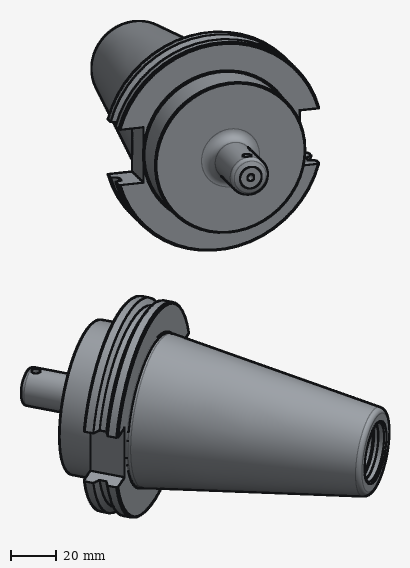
import cadquery as cq
import math

total_length = 165.1
taper_end = 102.7
flange_start = 104.5
flange_end = 120.7
collar_end = 136.5

taper_large_diameter = 69.8
taper_ratio = 7 / 24
nose_radius = 2.5

flange_diameter = 97.3
flange_chamfer = 0.7
root_radius = 0.5
groove_floor_diameter = 91.0
groove_floor_width = 3.1
groove_wall_angle = math.radians(30)
slot_width = 26.0
deep_slot_floor = 35.3
shallow_slot_floor = 37.6

collar_diameter = 70.2
collar_chamfer = 0.5
stub_diameter = 17.5
stub_root_radius = 4.8
stub_tip_diameter = 10.0
stub_tip_length = 1.3
stub_tip_radius = 2.0

mouth_diameter = 28.4
counterbore_diameter = 26.7
counterbore_depth = 3.5
thread_diameter = 26.3
thread_depth = 5.5
bore_diameter = 22.0
bore_depth = 59.5
pilot_diameter = 8.0
pilot_depth = 92.5
drill_tip_angle = math.radians(118)

coolant_diameter = 3.1
cross_hole_diameter = 4.0
cross_hole_x = 159.8


def revolved_around_x(profile):
    return profile.close().revolve(360, (0, 0, 0), (1, 0, 0))


def cylinder(start, end, diameter):
    return cq.Workplane("YZ", origin=(start, 0, 0)).circle(diameter / 2).extrude(end - start)


def drill_tip(start_diameter, end_diameter):
    """Axial length of a drill point between two diameters."""
    return (start_diameter - end_diameter) / 2 / math.tan(drill_tip_angle / 2)


def make_taper():
    large_radius = taper_large_diameter / 2
    small_radius = large_radius - taper_end * taper_ratio / 2
    profile = (
        cq.Workplane("XY")
        .lineTo(0, small_radius)
        .lineTo(taper_end, large_radius)
        .lineTo(flange_start, large_radius)
        .lineTo(flange_start, 0)
    )
    return revolved_around_x(profile).edges("<X").fillet(nose_radius)


def make_collar():
    return cylinder(flange_start, collar_end, collar_diameter).faces(">X").chamfer(collar_chamfer)


def make_flange():
    flange = cylinder(flange_start, flange_end, flange_diameter).edges().chamfer(flange_chamfer)
    middle = (flange_start + flange_end) / 2
    outer_radius = flange_diameter / 2
    floor_radius = groove_floor_diameter / 2
    half_floor = groove_floor_width / 2
    half_mouth = half_floor + (outer_radius - floor_radius) * math.tan(groove_wall_angle)
    groove = (
        cq.Workplane("XY")
        .moveTo(middle - half_mouth, outer_radius)
        .lineTo(middle - half_floor, floor_radius)
        .lineTo(middle + half_floor, floor_radius)
        .lineTo(middle + half_mouth, outer_radius)
    )
    return flange.cut(revolved_around_x(groove))


def make_root_fillet(face_x, shaft_diameter, direction):
    """Ring with a concave corner between a flange face and the shaft beside it."""
    shaft_radius = shaft_diameter / 2
    middle_offset = root_radius * (1 - math.sqrt(0.5))
    profile = (
        cq.Workplane("XY")
        .moveTo(face_x, shaft_radius - root_radius)
        .lineTo(face_x, shaft_radius + root_radius)
        .threePointArc(
            (face_x + direction * middle_offset, shaft_radius + middle_offset),
            (face_x + direction * root_radius, shaft_radius),
        )
        .lineTo(face_x + direction * root_radius, shaft_radius - root_radius)
    )
    return revolved_around_x(profile)


def make_drive_slot(side, floor):
    depth = flange_diameter / 2 - floor
    return cq.Workplane("XY").box(flange_end - flange_start, depth, slot_width).translate(
        ((flange_start + flange_end) / 2, side * (floor + depth / 2), 0)
    )


def make_stub():
    radius = stub_diameter / 2
    tip_start = total_length - stub_tip_length
    arc_offset = stub_root_radius * (1 - math.sqrt(0.5))
    profile = (
        cq.Workplane("XY")
        .moveTo(collar_end, 0)
        .lineTo(collar_end, radius + stub_root_radius)
        .threePointArc(
            (collar_end + arc_offset, radius + arc_offset),
            (collar_end + stub_root_radius, radius),
        )
        .lineTo(tip_start, radius)
        .lineTo(total_length, stub_tip_diameter / 2)
        .lineTo(total_length, 0)
    )
    tip_shoulder = cq.selectors.BoxSelector(
        (tip_start - stub_tip_length / 2, -stub_diameter, -stub_diameter),
        (tip_start + stub_tip_length / 2, stub_diameter, stub_diameter),
    )
    return revolved_around_x(profile).edges("%CIRCLE").edges(tip_shoulder).fillet(stub_tip_radius)


def make_bore():
    bore_tip = bore_depth + drill_tip(bore_diameter, pilot_diameter)
    pilot_tip = pilot_depth + drill_tip(pilot_diameter, 0)
    mouth_depth = (mouth_diameter - counterbore_diameter) / 2
    profile = (
        cq.Workplane("XY")
        .lineTo(0, mouth_diameter / 2)
        .lineTo(mouth_depth, counterbore_diameter / 2)
        .lineTo(counterbore_depth, counterbore_diameter / 2)
        .lineTo(counterbore_depth, thread_diameter / 2)
        .lineTo(thread_depth, thread_diameter / 2)
        .lineTo(thread_depth, bore_diameter / 2)
        .lineTo(bore_depth, bore_diameter / 2)
        .lineTo(bore_tip, pilot_diameter / 2)
        .lineTo(pilot_depth, pilot_diameter / 2)
        .lineTo(pilot_tip, 0)
    )
    return revolved_around_x(profile)


def make_cross_hole():
    """Radial hole from the top of the stub down to its axis."""
    return (
        cq.Workplane("XY", origin=(cross_hole_x, 0, 0))
        .circle(cross_hole_diameter / 2)
        .extrude(stub_diameter / 2)
    )


result = make_taper().union(make_flange()).union(make_collar()).union(make_stub())
result = result.union(make_root_fillet(flange_start, taper_large_diameter, -1))
result = result.union(make_root_fillet(flange_end, collar_diameter, 1))
result = result.cut(make_drive_slot(1, shallow_slot_floor)).cut(make_drive_slot(-1, deep_slot_floor))
result = result.cut(make_bore()).cut(cylinder(0, total_length, coolant_diameter)).cut(make_cross_hole())